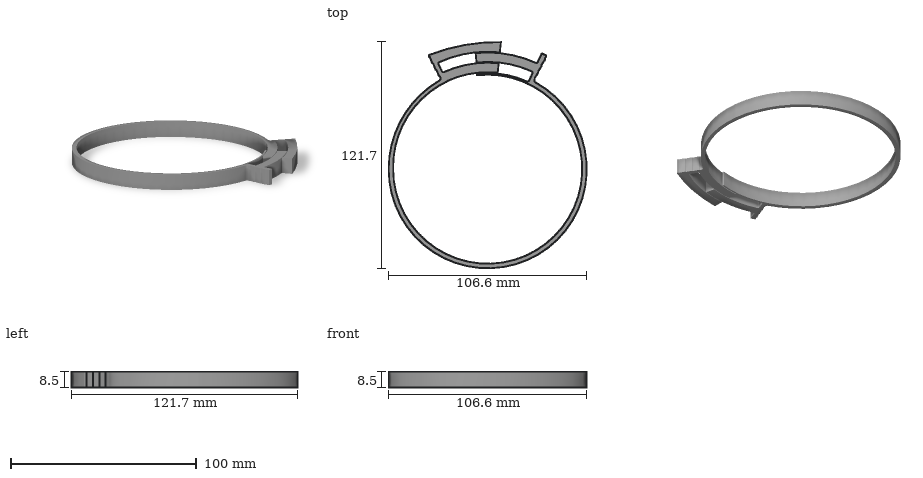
import cadquery as cq
import math

height = 8.5
overall_length = 121.7
ring_outer_r = 53.3
ring_wall = 2.5
ring_inner_r = ring_outer_r - ring_wall
raised_shift = 1.3
raised_growth = 2.0

gap = 0.3
tongue_outer_r = 51.7
lower_inner_r = ring_inner_r + raised_shift
lower_outer_r = 57.3
middle_inner_r = lower_outer_r + gap
middle_outer_r = 62.8
upper_inner_r = middle_outer_r + gap
upper_blank_r = 79.1
crown_top = overall_length - ring_outer_r
crown_r = 101.0
crown_x = 5.4
crown_corner_r = 69.1
lever_r = 68.8

top_angle = 90.0
tip_overrun = 6.0
tongue_overrun = 6.6
wall_outer_offset = 27.5
wall_inner_offset = 25.0
right_outer = top_angle - wall_outer_offset
right_inner = top_angle - wall_inner_offset
left_outer = top_angle + wall_outer_offset
left_inner = top_angle + wall_inner_offset
wall_root_r = ring_outer_r - ring_wall / 2

tooth_count = 4
left_tooth_r = 56.3
right_tooth_r = 55.0
tooth_pitch = 3.9
tooth_length = 0.5
tooth_angle = 0.15

root_fillet = 1.2
crown_fillet = 0.7
pocket_fillet = 0.6
tongue_fillet = 1.1
lever_fillet = 0.4


def polar(radius, angle):
    a = math.radians(angle)
    return (radius * math.cos(a), radius * math.sin(a))


def shifted_polar(radius, angle, dx, dy):
    x, y = polar(radius, angle)
    return (x + dx, y + dy)


def sector(inner_r, outer_r, start, end):
    """Ring segment about the ring centre with radial ends."""
    middle = (start + end) / 2
    return (
        cq.Workplane("XY")
        .moveTo(*polar(inner_r, start))
        .lineTo(*polar(outer_r, start))
        .threePointArc(polar(outer_r, middle), polar(outer_r, end))
        .lineTo(*polar(inner_r, end))
        .threePointArc(polar(inner_r, middle), polar(inner_r, start))
        .close()
        .extrude(height)
    )


def raised_quarter():
    """Upper left stretch of the ring, which climbs to meet the lower finger."""
    start = left_inner
    middle = (start + 180) / 2
    outer_r = ring_outer_r + raised_growth
    return (
        cq.Workplane("XY")
        .moveTo(-ring_inner_r, 0)
        .lineTo(-ring_outer_r, 0)
        .threePointArc(
            shifted_polar(outer_r, middle, raised_growth, 0),
            shifted_polar(outer_r, start, raised_growth, 0),
        )
        .lineTo(*shifted_polar(ring_inner_r, start, 0, raised_shift))
        .threePointArc(
            shifted_polar(ring_inner_r, middle, 0, raised_shift),
            (-ring_inner_r, raised_shift),
        )
        .close()
        .extrude(height)
    )


def toothed_wall(outer_r, inner_side, outer_side, first_r):
    """End wall with small steps in its outer face, all turned anticlockwise going outwards."""
    points = [polar(wall_root_r, inner_side), polar(wall_root_r, outer_side)]
    for i in range(tooth_count):
        step_r = first_r + i * tooth_pitch
        points.append(polar(step_r - tooth_length / 2, outer_side - tooth_angle))
        points.append(polar(step_r + tooth_length / 2, outer_side + tooth_angle))
    points.append(polar(outer_r, outer_side))
    points.append(polar(outer_r, inner_side))
    return cq.Workplane("XY").polyline(points).close().extrude(height)


def left_hook():
    """Lower and upper fingers joined by the toothed wall."""
    lower_finger = sector(lower_inner_r, lower_outer_r, top_angle - tip_overrun, left_inner)
    upper_finger = sector(upper_inner_r, upper_blank_r, top_angle - tip_overrun, left_inner)
    wall = toothed_wall(upper_blank_r, left_inner, left_outer, left_tooth_r)
    crown = cq.Workplane("XY").center(crown_x, crown_top - crown_r).circle(crown_r).extrude(height)
    return upper_finger.union(wall).intersect(crown).union(lower_finger)


def right_hook():
    """Thin tongue and middle finger joined by the wall that ends in a lever."""
    tongue = sector(ring_inner_r, tongue_outer_r, right_inner, top_angle + tongue_overrun)
    middle_finger = sector(middle_inner_r, middle_outer_r, right_inner, top_angle + tip_overrun)
    lever = toothed_wall(lever_r, right_inner, right_outer, right_tooth_r)
    return tongue.union(middle_finger).union(lever)


def round_edge(body, fillet_r, corner_r, angle):
    """Fillet the vertical edge nearest to a polar position."""
    corner = (*polar(corner_r, angle), height / 2)
    return body.edges("|Z").edges(cq.selectors.NearestToPointSelector(corner)).fillet(fillet_r)


lower_ring = sector(ring_inner_r, ring_outer_r, -180, right_inner)
result = lower_ring.union(raised_quarter()).union(right_hook()).union(left_hook())

roundings = [
    (root_fillet, ring_outer_r, right_outer),
    (root_fillet, ring_outer_r + raised_shift, left_outer),
    (crown_fillet, crown_corner_r, left_outer),
    (pocket_fillet, upper_inner_r, left_inner),
    (pocket_fillet, lower_outer_r, left_inner),
    (pocket_fillet, middle_inner_r, right_inner),
    (tongue_fillet, tongue_outer_r, right_inner),
    (pocket_fillet, middle_outer_r, right_inner),
    (lever_fillet, lever_r, right_inner),
    (lever_fillet, lever_r, right_outer),
]
for fillet_r, corner_r, angle in roundings:
    result = round_edge(result, fillet_r, corner_r, angle)